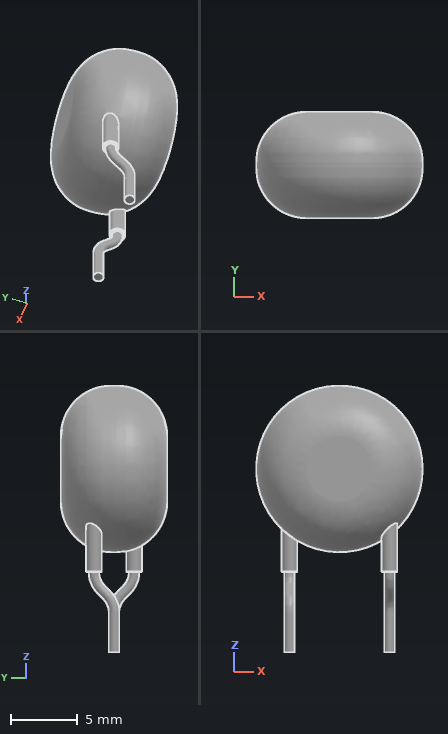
import cadquery as cq

body_diameter = 12.5
body_thickness = 8.0
rim_radius = 3.8

lead_pitch = 7.5
lead_offset = 1.5
wire_diameter = 0.8
tail_length = 3.0
bend_height = 3.0
sleeve_diameter = 1.2
sleeve_edge_chamfer = 0.08
overall_height = 20.0
body_center_z = overall_height - tail_length - body_diameter / 2
sleeve_top_z = body_center_z - lead_pitch / 2


def make_body():
    """Disc centred on the Y = 0 plane, with both rims rounded."""
    back_face = cq.Workplane("XZ", origin=(0, body_thickness / 2, body_center_z))
    disc = back_face.circle(body_diameter / 2).extrude(body_thickness)
    return disc.edges("%CIRCLE").fillet(rim_radius)


def make_lead(x, y_top):
    """Straight tail, S-bend out to y_top, and a sleeve running up into the body."""
    tail = cq.Workplane("XY", origin=(x, 0, -tail_length)).circle(wire_diameter / 2).extrude(tail_length)
    bend_path = cq.Workplane("YZ", origin=(x, 0, 0)).spline(
        [(0, 0), (y_top, bend_height)], tangents=[(0, 1), (0, 1)]
    )
    bend = cq.Workplane("XY", origin=(x, 0, 0)).circle(wire_diameter / 2).sweep(bend_path)
    sleeve = (
        cq.Workplane("XY", origin=(x, y_top, bend_height))
        .circle(sleeve_diameter / 2)
        .extrude(sleeve_top_z - bend_height)
        .faces("<Z")
        .chamfer(sleeve_edge_chamfer)
    )
    return tail.union(bend).union(sleeve)


result = make_body()
for side in (-1, 1):
    result = result.union(make_lead(side * lead_pitch / 2, -side * lead_offset))